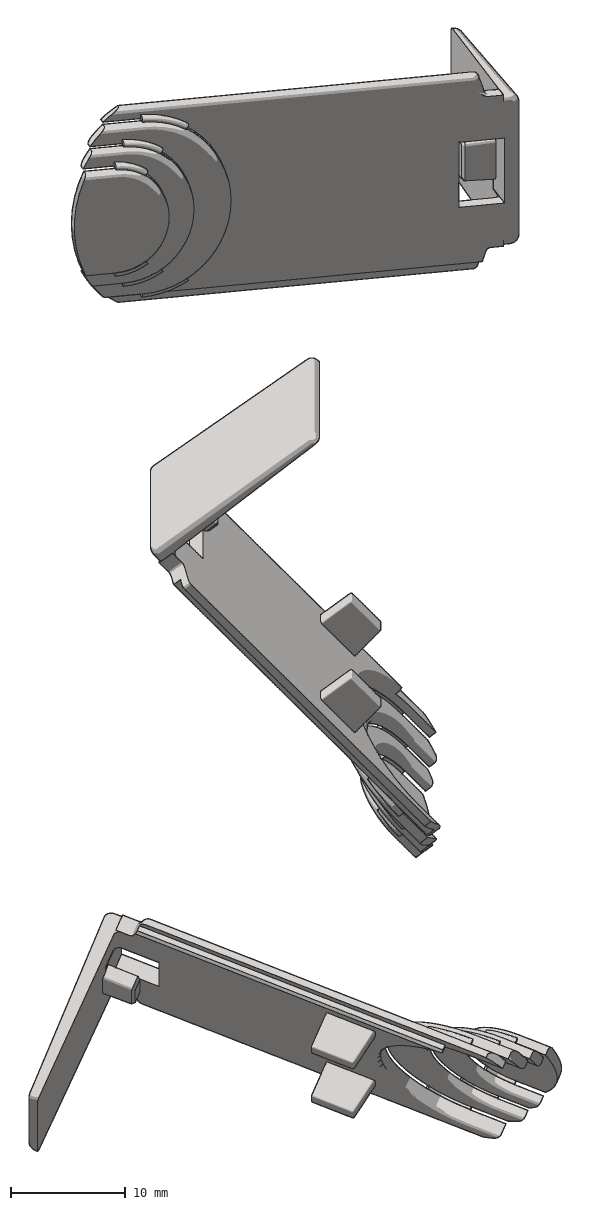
import cadquery as cq
import math

LENGTH = 41.3
OVERRUN = 1.25

PLATE_FRONT_X = 17.1
PLATE_BACK_X = 18.65
PLATE_MIDDLE_X = (PLATE_FRONT_X + PLATE_BACK_X) / 2
LAP_X = 17.85
WIDTH = 18.3
HALF_WIDTH = WIDTH / 2
LAP_HALF_WIDTH = 8.25
END_RADIUS = 10.65
NECK_HALF_WIDTH = 7.02
NECK_START_Y = 38.3
SHOULDER_Y = 37.55
SHOULDER_ROUND = 0.5
NECK_ROUND = 0.4
EDGE_ROUND = 0.55
RIDGE_CHAMFER = 0.25

CLEARANCE = 0.1
DISC_RADII = [7.95, 6.28, 4.75]
DISC_CENTRES_Y = [7.02, 5.0, 3.92]
DISC_FRONT_X = [18.88, 20.15, 21.52]
DISC_BACK_X = [19.95, 21.2, 22.5]
RIM_ROUND = 0.5

BRIDGE_WIDTH = 0.45
BRIDGE_OVERLAP = 0.45
BRIDGE_ROUND = 0.3
BRIDGE_START_ANGLES = [60.0, 58.0, 56.0]

TAB_TIP_HALF_WIDTH = 6.7
TAB_TIP_OUTER_Y = 41.05
TAB_TIP_INNER_Y = 40.07
TAB_ROOT_INNER_Y = 39.8
TAB_CORNER_ROUND = 0.25
TAB_TIP_ROUND = 0.6
TAB_SIDE_ROUND = 0.9
INNER_BEND_ROUND = 0.5

WINDOW_HALF_WIDTH = 3.0
WINDOW_START_Y = 35.75
WINDOW_END_Y = 39.85
WINDOW_FRONT_X = 15.0

PEG_X = 14.95
PEG_THICKNESS = 1.55
PEG_ROOT_HEIGHT = 3.95
PEG_TIP_HEIGHT = 3.68
PEG_ROOT_Y = 40.5
PEG_TIP_Y = 36.85
PEG_ROUND = 0.4
PEG_TIP_CHAMFER = 0.25

PAD_TIP_X = 13.6
PAD_BACK_Y = 19.95
PAD_TIP_FRONT_Y = 15.9
PAD_ROOT_FRONT_Y = 15.33
PAD_WIDTH = 1.5
PAD_OFFSET_Z = 6.25
PAD_ROUND = 0.2


def block(x_range, y_range, z_range):
    """Axis-aligned box given by its limits."""
    ranges = (x_range, y_range, z_range)
    sizes = [high - low for low, high in ranges]
    corner = tuple(low for low, high in ranges)
    return cq.Workplane("XY").box(*sizes, centered=False).translate(corner)


def round_edges(body, points, radius):
    """Fillet the edges nearest to the given points in one go."""
    edges = [body.edges(cq.selectors.NearestToPointSelector(point)).val() for point in points]
    return body.newObject(edges).fillet(radius)


def slab(radius, centre_y, start_y, x_start, x_end):
    """Plate with a half-round rear end and straight sides running forward to start_y."""
    return (
        cq.Workplane("YZ", origin=(x_start, 0, 0))
        .moveTo(start_y, -radius)
        .lineTo(centre_y, -radius)
        .threePointArc((centre_y + radius, 0), (centre_y, radius))
        .lineTo(start_y, radius)
        .close()
        .extrude(x_end - x_start)
    )


def round_half_ring(body, radius, centre_y, x):
    """Round the half-circle edge at plane x together with its tangent straight edges."""
    arc_centroid_y = centre_y + 2 * radius / math.pi
    return round_edges(body, [(x, arc_centroid_y, 0)], RIM_ROUND)


def open_step(body, index, x_front, x_back):
    """Cut the opening for disc number index and round its front rim."""
    radius = DISC_RADII[index] + CLEARANCE
    centre_y = DISC_CENTRES_Y[index]
    body = body.cut(slab(radius, centre_y, -2 * OVERRUN, x_front - OVERRUN, x_back + OVERRUN))
    return round_half_ring(body, radius, centre_y, x_front)


def make_plate():
    plate = (
        cq.Workplane("YZ", origin=(PLATE_FRONT_X, 0, 0))
        .polyline([
            (-OVERRUN, -HALF_WIDTH),
            (SHOULDER_Y, -HALF_WIDTH),
            (NECK_START_Y, -NECK_HALF_WIDTH),
            (TAB_ROOT_INNER_Y, -NECK_HALF_WIDTH),
            (TAB_ROOT_INNER_Y, NECK_HALF_WIDTH),
            (NECK_START_Y, NECK_HALF_WIDTH),
            (SHOULDER_Y, HALF_WIDTH),
            (-OVERRUN, HALF_WIDTH),
        ])
        .close()
        .extrude(PLATE_BACK_X - PLATE_FRONT_X)
    )
    for side in (-1, 1):
        shoulder = (PLATE_MIDDLE_X, SHOULDER_Y, side * HALF_WIDTH)
        plate = round_edges(plate, [shoulder], SHOULDER_ROUND)
    plate = round_edges(plate, [(PLATE_BACK_X, LENGTH / 2, HALF_WIDTH)], EDGE_ROUND)
    plate = open_step(plate, 0, PLATE_FRONT_X, PLATE_BACK_X)

    all_y = (-2 * OVERRUN, LENGTH)
    upper_lap = block((PLATE_FRONT_X - OVERRUN, LAP_X), all_y, (LAP_HALF_WIDTH, HALF_WIDTH + OVERRUN))
    ridge = (
        cq.Workplane("XZ", origin=(0, LENGTH, 0))
        .moveTo(PLATE_FRONT_X, LAP_HALF_WIDTH - RIDGE_CHAMFER)
        .lineTo(PLATE_FRONT_X + RIDGE_CHAMFER, LAP_HALF_WIDTH)
        .lineTo(PLATE_FRONT_X, LAP_HALF_WIDTH)
        .close()
        .extrude(LENGTH)
    )
    lower_lap = block((LAP_X, PLATE_BACK_X + OVERRUN), all_y, (-HALF_WIDTH - OVERRUN, -LAP_HALF_WIDTH))
    plate = plate.cut(upper_lap).cut(ridge).cut(lower_lap)

    rim_radius = DISC_RADII[0] + CLEARANCE + RIM_ROUND
    lip_end_y = DISC_CENTRES_Y[0] + math.sqrt(rim_radius**2 - LAP_HALF_WIDTH**2)
    lip_z = math.sqrt((DISC_RADII[0] + CLEARANCE)**2 - (lip_end_y - DISC_CENTRES_Y[0])**2)
    return plate.cut(block((PLATE_FRONT_X - OVERRUN, LAP_X), (-2 * OVERRUN, lip_end_y), (lip_z, HALF_WIDTH)))


def make_disc(index):
    radius = DISC_RADII[index]
    centre_y = DISC_CENTRES_Y[index]
    x_front = DISC_FRONT_X[index]
    x_back = DISC_BACK_X[index]
    disc = slab(radius, centre_y, -OVERRUN, x_front, x_back)
    disc = round_half_ring(disc, radius, centre_y, x_back)
    if index + 1 < len(DISC_RADII):
        disc = open_step(disc, index + 1, x_front, x_back)
    return disc


def make_bridge(index, side):
    """Arc-shaped strip hugging a disc rim and reaching forward to the step before it."""
    inner = DISC_RADII[index]
    outer = inner + BRIDGE_WIDTH
    centre_y = DISC_CENTRES_Y[index]
    start = BRIDGE_START_ANGLES[index]
    x_start = PLATE_BACK_X if index == 0 else DISC_BACK_X[index - 1]
    x_end = DISC_FRONT_X[index] + BRIDGE_OVERLAP

    def at(radius, degrees):
        angle = math.radians(degrees)
        return (centre_y + radius * math.cos(angle), side * radius * math.sin(angle))

    middle = (start + 90) / 2
    bridge = (
        cq.Workplane("YZ", origin=(x_start, 0, 0))
        .moveTo(*at(inner, start))
        .lineTo(*at(outer, start))
        .threePointArc(at(outer, middle), at(outer, 90))
        .lineTo(*at(inner, 90))
        .threePointArc(at(inner, middle), at(inner, start))
        .close()
        .extrude(x_end - x_start)
    )
    return round_edges(bridge, [(x_end, *at(outer, middle))], BRIDGE_ROUND)


def make_tab():
    """Tab tapering in thickness and in width toward its tip at X = 0."""
    outer_slope = (LENGTH - TAB_TIP_OUTER_Y) / (PLATE_BACK_X - EDGE_ROUND)
    root_outer_y = TAB_TIP_OUTER_Y + outer_slope * PLATE_BACK_X
    thickness_profile = (
        cq.Workplane("XY", origin=(0, 0, -HALF_WIDTH))
        .polyline([
            (0, TAB_TIP_INNER_Y),
            (PLATE_FRONT_X, TAB_ROOT_INNER_Y),
            (PLATE_BACK_X, TAB_ROOT_INNER_Y),
            (PLATE_BACK_X, root_outer_y),
            (0, TAB_TIP_OUTER_Y),
        ])
        .close()
        .extrude(2 * HALF_WIDTH)
    )
    width_profile = (
        cq.Workplane("XZ", origin=(0, LENGTH + OVERRUN, 0))
        .polyline([
            (0, -TAB_TIP_HALF_WIDTH),
            (PLATE_BACK_X, -NECK_HALF_WIDTH),
            (PLATE_BACK_X, NECK_HALF_WIDTH),
            (0, TAB_TIP_HALF_WIDTH),
        ])
        .close()
        .extrude(LENGTH)
    )
    tab = thickness_profile.intersect(width_profile)
    for side in (-1, 1):
        tab = round_edges(tab, [(PLATE_BACK_X / 2, LENGTH, side * NECK_HALF_WIDTH)], TAB_SIDE_ROUND)
    tab = round_edges(tab, [(0, TAB_TIP_OUTER_Y, 0)], TAB_TIP_ROUND)
    rounded_outline = width_profile.edges("|Y and <X").fillet(TAB_CORNER_ROUND)
    return tab.intersect(rounded_outline)


def make_peg():
    """Peg narrowing in height toward its chamfered tip."""
    return (
        cq.Workplane("YZ", origin=(PEG_X - PEG_THICKNESS / 2, 0, 0))
        .polyline([
            (PEG_ROOT_Y, -PEG_ROOT_HEIGHT / 2),
            (PEG_ROOT_Y, PEG_ROOT_HEIGHT / 2),
            (PEG_TIP_Y, PEG_TIP_HEIGHT / 2),
            (PEG_TIP_Y, -PEG_TIP_HEIGHT / 2),
        ])
        .close()
        .extrude(PEG_THICKNESS)
        .edges("not(<Y or >Y)")
        .fillet(PEG_ROUND)
        .faces("<Y")
        .chamfer(PEG_TIP_CHAMFER)
    )


def make_pad(side):
    return (
        cq.Workplane("XY", origin=(0, 0, side * PAD_OFFSET_Z - PAD_WIDTH / 2))
        .polyline([
            (PLATE_FRONT_X, PAD_BACK_Y),
            (PAD_TIP_X, PAD_BACK_Y),
            (PAD_TIP_X, PAD_TIP_FRONT_Y),
            (PLATE_FRONT_X, PAD_ROOT_FRONT_Y),
        ])
        .close()
        .extrude(PAD_WIDTH)
        .edges("not >X")
        .fillet(PAD_ROUND)
    )


def make_bent_plate():
    """Plate and tab joined with a rounded bend."""
    bent = make_plate().union(make_tab())
    bent = round_edges(bent, [(PLATE_FRONT_X, TAB_ROOT_INNER_Y, 0)], INNER_BEND_ROUND)
    neck_middle_y = (NECK_START_Y + LENGTH) / 2
    outer_rim = [(PLATE_BACK_X, LENGTH, 0)]
    for side in (-1, 1):
        bent = round_edges(bent, [(PLATE_MIDDLE_X, NECK_START_Y, side * NECK_HALF_WIDTH)], NECK_ROUND)
        outer_rim.append((PLATE_BACK_X, neck_middle_y, side * NECK_HALF_WIDTH))
    return round_edges(bent, outer_rim, EDGE_ROUND)


def make_front_envelope():
    """Everything behind the rounded front end, used to trim all steps together."""
    return (
        cq.Workplane("YZ")
        .moveTo(LENGTH, -END_RADIUS)
        .lineTo(END_RADIUS, -END_RADIUS)
        .threePointArc((0, 0), (END_RADIUS, END_RADIUS))
        .lineTo(LENGTH, END_RADIUS)
        .close()
        .extrude(DISC_BACK_X[-1])
    )


window = block(
    (WINDOW_FRONT_X, PLATE_BACK_X + OVERRUN),
    (WINDOW_START_Y, WINDOW_END_Y),
    (-WINDOW_HALF_WIDTH, WINDOW_HALF_WIDTH),
)
body = make_bent_plate().cut(window).union(make_peg())
for side in (-1, 1):
    body = body.union(make_pad(side))

for index in range(len(DISC_RADII)):
    body = body.union(make_disc(index))
    for side in (-1, 1):
        body = body.union(make_bridge(index, side))

result = body.intersect(make_front_envelope())